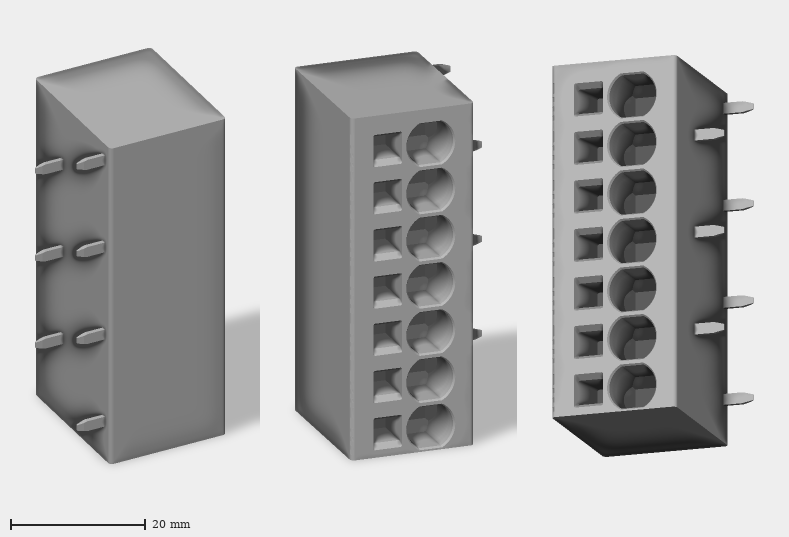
import cadquery as cq
import math

HOUSING_WIDTH = 24.15
HOUSING_HEIGHT = 19.65
HOUSING_LENGTH = 54.3
EDGE_RADIUS = 0.65

POLE_COUNT = 7
POLE_PITCH = 7.5
FIRST_POLE_Z = POLE_PITCH / 2

FUNNEL_Y = HOUSING_HEIGHT - 12.7
FUNNEL_RADIUS = 3.7
FUNNEL_HALF_HEIGHT = 3.25
FUNNEL_LIP_WIDTH = 0.2
FUNNEL_LIP_DEPTH = 0.4
FUNNEL_DEPTH = 9.25
FUNNEL_FLOOR_WIDTH = 5.2
FUNNEL_FLOOR_HEIGHT = 4.05
FUNNEL_FLARE = 1.9
FUNNEL_FLARE_LENGTH = 3.8

SLOT_TOP_Y = HOUSING_HEIGHT - 3.6
SLOT_WIDTH = 4.55
SLOT_DEPTH = 7.05
SLOT_FLOOR_WIDTH = 3.25
SLOT_MOUTH_HEIGHT = 5.1
SLOT_CAVITY_HEIGHT = 3.75
SLOT_MOUTH_DEPTH = 1.25
SLOT_MOUTH_RADIUS = 0.25
SLOT_CAVITY_RADIUS = 0.25

PIN_ROWS_X = (22.2, 8.95)
PIN_POLE_OFFSET = 2.9
PIN_THICKNESS = 0.7
PIN_WIDTH = 1.7
PIN_LENGTH = 4.55
PIN_TIP_THICKNESS = 0.25
PIN_TIP_WIDTH = 0.9
PIN_THICKNESS_TAPER = 1.05
PIN_WIDTH_TAPER = 1.6
PIN_ROOT = 0.55

EDGE_FLATS = ((2.1, 1.7), (0.4, 0.75), (-1.1, 0.75), (-2.5, 0.75))
EDGE_FLAT_LEG = 0.5


def housing():
    block = cq.Workplane("XY").box(HOUSING_WIDTH, HOUSING_HEIGHT, HOUSING_LENGTH, centered=False)
    return block.edges("|Z").fillet(EDGE_RADIUS)


def flattened_circle(radius, half_height):
    """Circle in the YZ plane, cut flat at z = +/- half_height."""
    half_flat = math.sqrt(radius**2 - half_height**2)
    return (
        cq.Workplane("YZ")
        .moveTo(-half_flat, half_height)
        .lineTo(half_flat, half_height)
        .threePointArc((radius, 0), (half_flat, -half_height))
        .lineTo(-half_flat, -half_height)
        .threePointArc((-radius, 0), (-half_flat, half_height))
        .close()
    )


def wire_funnel():
    """Funnel along +X from the entry face, centred on the X axis."""
    flare_start = FUNNEL_DEPTH - FUNNEL_FLARE_LENGTH
    flare_width = FUNNEL_FLOOR_WIDTH + 2 * FUNNEL_FLARE
    flare_height = FUNNEL_FLOOR_HEIGHT + 2 * FUNNEL_FLARE
    straight = cq.Workplane("YZ").rect(flare_width, flare_height).extrude(flare_start)
    pyramid = (
        cq.Workplane("YZ", origin=(flare_start, 0, 0))
        .rect(flare_width, flare_height)
        .workplane(offset=FUNNEL_FLARE_LENGTH)
        .rect(FUNNEL_FLOOR_WIDTH, FUNNEL_FLOOR_HEIGHT)
        .loft(ruled=True)
    )
    bore = flattened_circle(FUNNEL_RADIUS, FUNNEL_HALF_HEIGHT).extrude(FUNNEL_DEPTH)
    lip_profile = flattened_circle(
        FUNNEL_RADIUS + FUNNEL_LIP_WIDTH,
        FUNNEL_HALF_HEIGHT + FUNNEL_LIP_WIDTH,
    )
    lip_angle = math.degrees(math.atan2(FUNNEL_LIP_WIDTH, FUNNEL_LIP_DEPTH))
    lip = lip_profile.extrude(FUNNEL_LIP_DEPTH, taper=lip_angle)
    return bore.intersect(straight.union(pyramid)).union(lip)


def release_slot():
    """Slot with its upper wall at y = 0 on the entry face, centred on z = 0."""
    def sloped_prism(height):
        return (
            cq.Workplane("XY", origin=(0, 0, -height / 2))
            .polyline([
                (0, 0),
                (SLOT_DEPTH, SLOT_FLOOR_WIDTH - SLOT_WIDTH),
                (SLOT_DEPTH, -SLOT_WIDTH),
                (0, -SLOT_WIDTH),
            ])
            .close()
            .extrude(height)
        )

    cavity = sloped_prism(SLOT_CAVITY_HEIGHT)
    cavity = cavity.faces(">Y").edges("not |Z").fillet(SLOT_CAVITY_RADIUS)
    mouth = (
        cq.Workplane("XZ")
        .polyline([
            (0, -SLOT_MOUTH_HEIGHT / 2),
            (SLOT_MOUTH_DEPTH, -SLOT_CAVITY_HEIGHT / 2),
            (SLOT_MOUTH_DEPTH, SLOT_CAVITY_HEIGHT / 2),
            (0, SLOT_MOUTH_HEIGHT / 2),
        ])
        .close()
        .extrude(SLOT_WIDTH)
        .intersect(sloped_prism(SLOT_MOUTH_HEIGHT))
    )
    mouth = mouth.faces(">Z or <Z").edges("not |Y").fillet(SLOT_MOUTH_RADIUS)
    return mouth.union(cavity)


def tapered_outline(plane, width, tip_width, taper_length):
    """Pin outline pointing along -Y, from its buried root to its tip."""
    shoulder = taper_length - PIN_LENGTH
    return (
        cq.Workplane(plane)
        .polyline([
            (-width / 2, PIN_ROOT),
            (-width / 2, shoulder),
            (-tip_width / 2, -PIN_LENGTH),
            (tip_width / 2, -PIN_LENGTH),
            (width / 2, shoulder),
            (width / 2, PIN_ROOT),
        ])
        .close()
    )


def solder_pin():
    across_thickness = tapered_outline("XY", PIN_THICKNESS, PIN_TIP_THICKNESS, PIN_THICKNESS_TAPER)
    across_width = tapered_outline("ZY", PIN_WIDTH, PIN_TIP_WIDTH, PIN_WIDTH_TAPER)
    blade = across_thickness.extrude(PIN_WIDTH / 2, both=True)
    return blade.intersect(across_width.extrude(PIN_THICKNESS / 2, both=True))


def edge_flat(length):
    """Wedge that flattens the rounded upper edge, centred on z = 0."""
    return (
        cq.Workplane("XY", origin=(0, HOUSING_HEIGHT, -length / 2))
        .polyline([(0, 0), (EDGE_FLAT_LEG, 0), (0, -EDGE_FLAT_LEG)])
        .close()
        .extrude(length)
    )


result = housing()
funnel = wire_funnel()
slot = release_slot()
pin = solder_pin()

for pole in range(POLE_COUNT):
    pole_z = FIRST_POLE_Z + pole * POLE_PITCH
    result = result.cut(funnel.translate((0, FUNNEL_Y, pole_z)))
    result = result.cut(slot.translate((0, SLOT_TOP_Y, pole_z)))
    for offset, length in EDGE_FLATS:
        result = result.cut(edge_flat(length).translate((0, 0, pole_z + offset)))
    pin_x = PIN_ROWS_X[pole % 2]
    result = result.union(pin.translate((pin_x, 0, pole_z + PIN_POLE_OFFSET)))